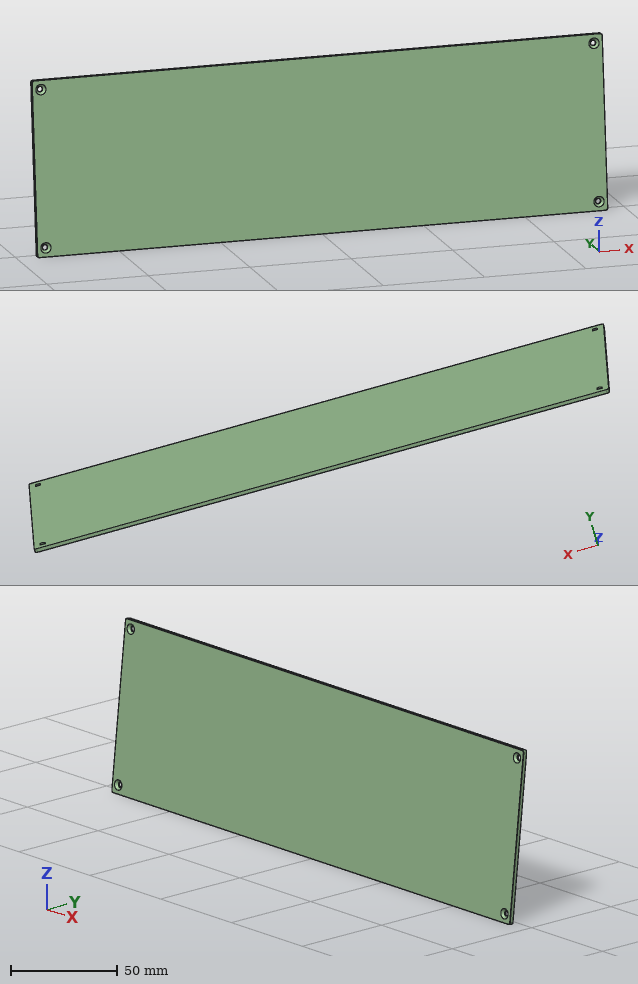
import cadquery as cq

panel_width = 281.29
panel_height = 84.565
panel_thickness = 2.0
lean_angle = 6.0
corner_radius = 1.2
front_edge_chamfer = 0.2

hole_diameter = 2.53
countersink_diameter = 5.0
countersink_angle = 90.0
hole_inset_x = 4.3
hole_inset_z = 4.5


def make_panel():
    """Upright panel with rounded corners and a chamfer around its front face."""
    panel = cq.Workplane("XZ").rect(panel_width, panel_height).extrude(panel_thickness / 2, both=True)
    panel = panel.edges("|Y").fillet(corner_radius)
    return panel.faces("<Y").chamfer(front_edge_chamfer)


def drill_screw_holes(panel):
    """Countersunk through holes at the four corners."""
    spacing_x = panel_width - 2 * hole_inset_x
    spacing_z = panel_height - 2 * hole_inset_z
    front = panel.faces("<Y").workplane(centerOption="CenterOfBoundBox")
    hole_centers = front.rect(spacing_x, spacing_z, forConstruction=True).vertices()
    return hole_centers.cskHole(hole_diameter, countersink_diameter, countersink_angle)


def lean_back(panel):
    """Tip the top edge toward +Y about the panel's horizontal center line."""
    return panel.rotate((0, 0, 0), (1, 0, 0), -lean_angle)


result = lean_back(drill_screw_holes(make_panel()))